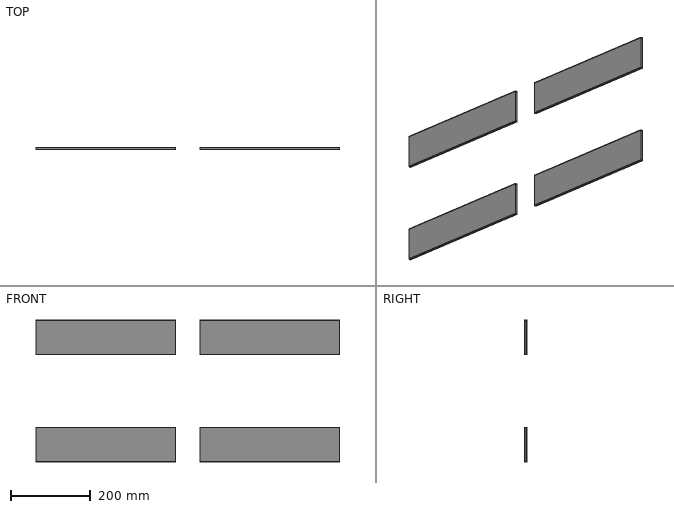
import cadquery as cq

total_length = 764.0
thickness = 6.0
total_height = 357.0

panel_length = 351.0
panel_height = 87.0

column_pitch = total_length - panel_length
row_pitch = total_height - panel_height


def make_panel(center_x, center_z):
    """Thin upright rectangular panel centred at the given place."""
    return cq.Workplane("XY").box(panel_length, thickness, panel_height).translate((center_x, 0, center_z))


panels = []
for row_side in (-1, 1):
    for column_side in (-1, 1):
        panel = make_panel(column_side * column_pitch / 2, row_side * row_pitch / 2)
        panels.append(panel.val())

result = cq.Compound.makeCompound(panels)